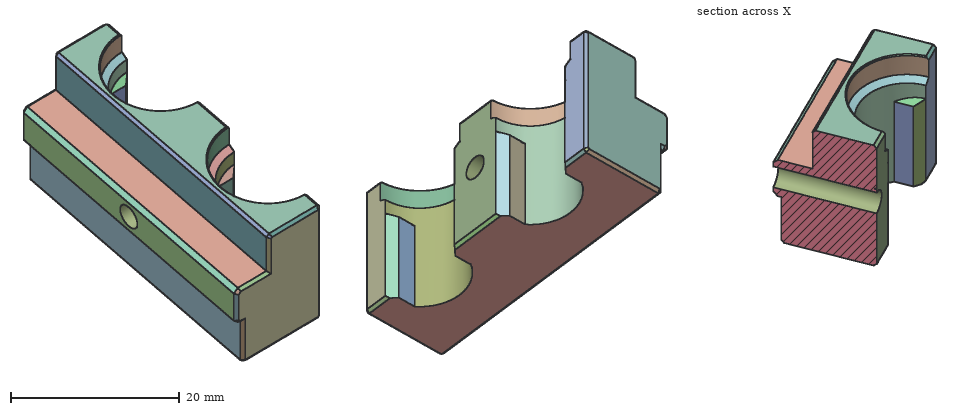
import cadquery as cq
import math

length = 40.0
depth = 13.2
height = 19.0
back_y = depth / 2
front_y = -depth / 2
bottom_z = -height / 2
top_z = height / 2

upper_depth = 8.2
lower_depth = 12.2
rail_bottom_height = 7.1
rail_top_height = 12.9
edge_chamfer = 0.4
rail_chamfer = 0.6

hole_diameter = 3.2
hole_height = 10.0

seat_pitch = 20.0
collar_radius = 7.2
body_radius = 6.25
collar_depth = 3.1
collar_rim_chamfer = 0.15
slope_angle = 30.0
slope = math.tan(math.radians(slope_angle))
shoulder_drop = (collar_radius - body_radius) * slope

mouth_width = 10.2
lip_reach = body_radius - mouth_width / 2
lip_drop = lip_reach * slope
lip_top_depth = 5.75


def make_body():
    """Stepped block with every outer edge chamfered."""
    upper_y = back_y - upper_depth
    lower_y = back_y - lower_depth
    rail_top_z = bottom_z + rail_top_height
    rail_bottom_z = bottom_z + rail_bottom_height
    profile = [
        (back_y - edge_chamfer, bottom_z),
        (back_y, bottom_z + edge_chamfer),
        (back_y, top_z - edge_chamfer),
        (back_y - edge_chamfer, top_z),
        (upper_y + edge_chamfer, top_z),
        (upper_y, top_z - edge_chamfer),
        (upper_y, rail_top_z),
        (front_y + rail_chamfer, rail_top_z),
        (front_y, rail_top_z - rail_chamfer),
        (front_y, rail_bottom_z + rail_chamfer),
        (front_y + rail_chamfer, rail_bottom_z),
        (lower_y, rail_bottom_z),
        (lower_y, bottom_z + edge_chamfer),
        (lower_y + edge_chamfer, bottom_z),
    ]
    block = cq.Workplane("YZ").polyline(profile).close().extrude(length / 2, both=True)
    return block.faces("<X or >X").chamfer(edge_chamfer)


def make_seat_bore():
    """Stepped round bore: chamfered rim, collar bore, conical shoulder, body bore."""
    collar_floor_z = top_z - collar_depth
    section = [
        (0, bottom_z),
        (body_radius, bottom_z),
        (body_radius, collar_floor_z - shoulder_drop),
        (collar_radius, collar_floor_z),
        (collar_radius, top_z - collar_rim_chamfer),
        (collar_radius + collar_rim_chamfer, top_z),
        (0, top_z),
    ]
    bore = cq.Workplane("XZ").polyline(section).close().revolve(360, (0, 0, 0), (0, 1, 0))
    return bore.translate((0, back_y, 0))


def make_lip(side):
    """Wedge-topped lip on one side (-1 or +1) of the seat mouth, bevelled at the back face."""
    inner_x = side * mouth_width / 2
    outer_x = side * body_radius
    plan = [
        (inner_x, back_y - body_radius),
        (inner_x, back_y - lip_reach),
        (outer_x, back_y),
        (outer_x, back_y - body_radius),
    ]
    lip_top_z = top_z - lip_top_depth
    elevation = [
        (inner_x, bottom_z),
        (outer_x, bottom_z),
        (outer_x, lip_top_z),
        (inner_x, lip_top_z - lip_drop),
    ]
    column = cq.Workplane("XY").workplane(offset=bottom_z).polyline(plan).close().extrude(height)
    sloped_bar = cq.Workplane("XZ").polyline(elevation).close().extrude(depth, both=True)
    return column.intersect(sloped_bar)


def make_seat():
    """Material removed by one seat: the bore less its two lips."""
    seat = make_seat_bore()
    for side in (-1, 1):
        seat = seat.cut(make_lip(side))
    return seat


def make_cross_hole():
    """Hole through the full depth, midway between the seats."""
    hole = cq.Workplane("XZ").circle(hole_diameter / 2).extrude(depth, both=True)
    return hole.translate((0, 0, bottom_z + hole_height))


result = make_body().cut(make_cross_hole())
for seat_x in (-seat_pitch / 2, seat_pitch / 2):
    result = result.cut(make_seat().translate((seat_x, 0, 0)))